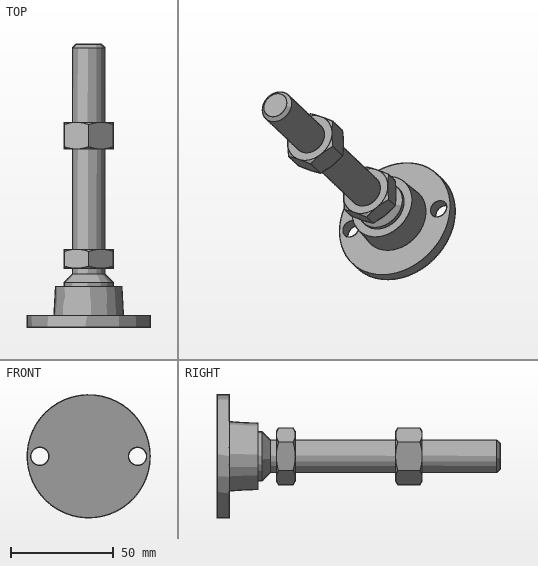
import cadquery as cq
import math

total_length = 138.0

plate_diameter = 60.0
plate_thickness = 6.0
hole_diameter = 8.7
hole_spacing = 47.6

hub_base_diameter = 34.0
hub_top_diameter = 32.4
hub_top = 20.0

stud_diameter = 16.0
stud_tip_chamfer = 1.8
collar_diameter = 24.0
collar_cone_start = 22.0
collar_cone_end = collar_cone_start + (collar_diameter - stud_diameter) / 2

nut_across_flats = 24.0
nut_across_corners = nut_across_flats / math.cos(math.radians(30))
nut_chamfer_angle = 30.0
lock_nut_start = 28.8
lock_nut_height = 9.2
upper_nut_start = 87.0
upper_nut_height = 13.0


def revolve_profile(points):
    """Revolve a closed (radius, Y) outline about the Y axis."""
    return cq.Workplane("XY").polyline(points).close().revolve(360, (0, 0, 0), (0, 1, 0))


def make_body():
    """Plate, tapered hub, collar and stud as one turned profile."""
    plate_radius = plate_diameter / 2
    hub_top_radius = hub_top_diameter / 2
    collar_radius = collar_diameter / 2
    stud_radius = stud_diameter / 2
    return revolve_profile([
        (0, 0),
        (plate_radius, 0),
        (plate_radius, plate_thickness),
        (hub_base_diameter / 2, plate_thickness),
        (hub_top_radius, hub_top),
        (collar_radius, hub_top),
        (collar_radius, collar_cone_start),
        (stud_radius, collar_cone_end),
        (stud_radius, total_length - stud_tip_chamfer),
        (stud_radius - stud_tip_chamfer, total_length),
        (0, total_length),
    ])


def make_nut(start, height):
    """Hex nut with corners on +/-Z and both ends chamfered down to the flats."""
    prism = (
        cq.Workplane("XZ", origin=(0, start, 0))
        .transformed(rotate=(0, 0, 90))
        .polygon(6, nut_across_corners)
        .extrude(-height)
    )
    end_radius = nut_across_flats / 2
    corner_radius = nut_across_corners / 2
    chamfer_height = (corner_radius - end_radius) * math.tan(math.radians(nut_chamfer_angle))
    end = start + height
    chamfer_envelope = revolve_profile([
        (0, start),
        (end_radius, start),
        (corner_radius, start + chamfer_height),
        (corner_radius, end - chamfer_height),
        (end_radius, end),
        (0, end),
    ])
    return prism.intersect(chamfer_envelope)


def make_plate_holes():
    """Two mounting holes through the plate, on the X axis."""
    return (
        cq.Workplane("XZ")
        .pushPoints([(-hole_spacing / 2, 0), (hole_spacing / 2, 0)])
        .circle(hole_diameter / 2)
        .extrude(-plate_thickness)
    )


result = (
    make_body()
    .union(make_nut(lock_nut_start, lock_nut_height))
    .union(make_nut(upper_nut_start, upper_nut_height))
    .cut(make_plate_holes())
)